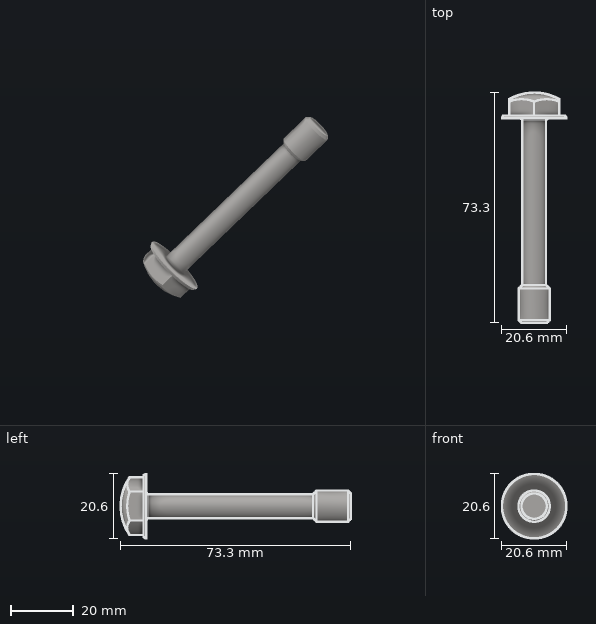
import cadquery as cq
import math

total_length = 73.3
head_height = 8.35
shank_length = total_length - head_height

across_flats = 16.0
across_corners = across_flats / math.cos(math.radians(30))
dome_radius = 16.0

flange_diameter = 20.6
flange_thickness = 1.0
flange_rim = 0.2
flange_taper = 0.45

shank_diameter = 7.7
neck_fillet = 0.5
end_diameter = 10.0
end_length = 12.0
tip_chamfer = 0.95


def hex_head():
    """Hexagon with flats facing +X and -X, cut to a spherical dome on top."""
    prism = (
        cq.Workplane("XZ")
        .polygon(6, across_corners)
        .extrude(-head_height)
        .rotate((0, 0, 0), (0, 1, 0), 30)
    )
    dome = cq.Workplane("XZ").sphere(dome_radius).translate((0, head_height - dome_radius, 0))
    return prism.intersect(dome)


def turned_body():
    """Flange, filleted neck, shank and chamfered end as one revolved profile."""
    flange_r = flange_diameter / 2
    shank_r = shank_diameter / 2
    end_r = end_diameter / 2
    shoulder = end_r - shank_r
    end_start = end_length - shank_length
    tip = -shank_length
    fillet_mid = neck_fillet * (1 - math.sqrt(0.5))
    profile = (
        cq.Workplane("XY")
        .moveTo(0, flange_thickness)
        .lineTo(flange_r - flange_taper, flange_thickness)
        .lineTo(flange_r, flange_rim)
        .lineTo(flange_r, 0)
        .lineTo(shank_r + neck_fillet, 0)
        .threePointArc((shank_r + fillet_mid, -fillet_mid), (shank_r, -neck_fillet))
        .lineTo(shank_r, end_start)
        .lineTo(end_r, end_start - shoulder)
        .lineTo(end_r, tip + tip_chamfer)
        .lineTo(end_r - tip_chamfer, tip)
        .lineTo(0, tip)
        .close()
    )
    return profile.revolve(360, (0, 0, 0), (0, 1, 0))


result = turned_body().union(hex_head())